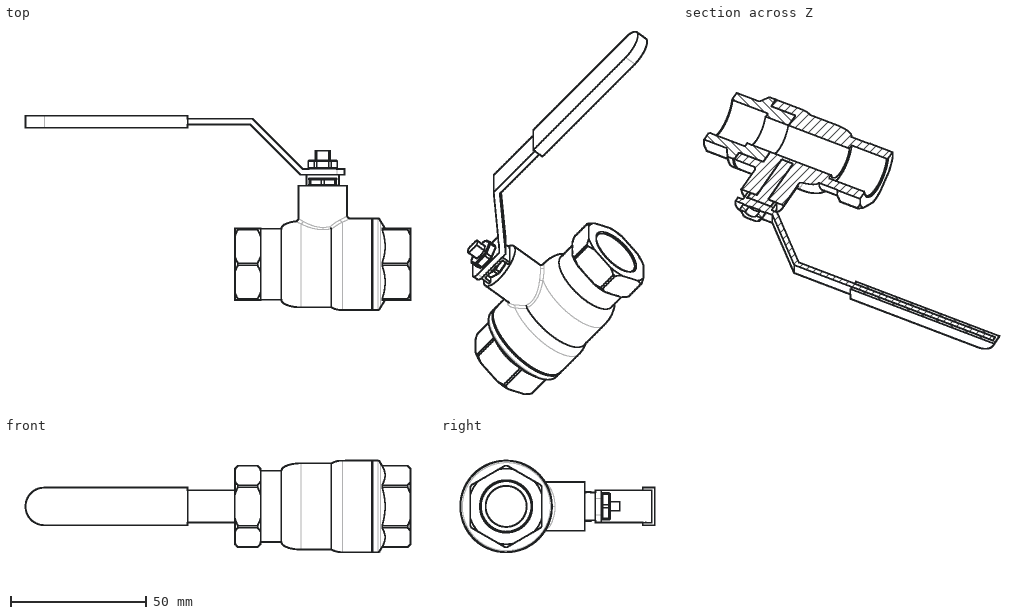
import cadquery as cq
import math


valve_half_length = 32.5
hex_apothem = 13.25
hex_corner_apothem = 15.05
hex_length = 9.5
hex_chamfer = 1.1
thread_radius = 9.3
thread_depth = 15.0
thread_chamfer = 0.45
port_radius = 7.55

neck_radius = 13.2
dome_start_x = -15.3
dome_end_x = -8.2
dome_radius = 16.0
rim_start_x = 3.2
rim_full_x = 7.15
rim_radius = 17.0
rim_end_x = 18.1

bonnet_radius = 9.05
bonnet_top_y = 29.1
bonnet_fillet = 1.0

groove_width = 0.4
groove_depth = 0.2
flange_start_x = rim_end_x + groove_width
flange_end_x = 20.3
flange_round_end_x = 21.2
flange_round_end_radius = 16.3
flange_cone_end_x = 23.1
spigot_radius = 13.0
spigot_start_x = 8.0

stem_radius = 2.8
stem_flat_distance = 1.67
stem_bottom_y = 9.0
stem_top_y = 42.05
nut_apothem = 5.0
nut_corner_apothem = 5.45
nut_height = 3.2
nut_chamfer = 0.4
gland_height = 2.65

lever_thickness = 2.2
lever_width = 12.0
lever_bottom_y = 33.05
lever_end_x = 8.1
lever_end_radius = 3.0
lever_bend_x = -8.25
lever_rise = 18.6
bend_angle = 45.0
bracket_half_width = 6.05
bracket_depth = 10.4

grip_tip_x = -110.0
grip_end_x = -50.0
grip_width = 14.0
grip_thickness = 4.5
grip_wall = (grip_width - lever_width) / 2

lever_top_y = lever_bottom_y + lever_thickness
handle_mid_y = lever_bottom_y + lever_rise + lever_thickness / 2
gland_top_y = bonnet_top_y + gland_height


def stem_plane():
    """Workplane normal to the stem axis, with its normal along +Y and its local X along Z."""
    return cq.Workplane(cq.Plane(origin=(0, 0, 0), xDir=(0, 0, 1), normal=(0, 1, 0)))


def cylinder_x(radius, start_x, end_x):
    return cq.Workplane("YZ").workplane(offset=start_x).circle(radius).extrude(end_x - start_x)


def cylinder_y(radius, start_y, end_y):
    return stem_plane().workplane(offset=start_y).circle(radius).extrude(end_y - start_y)


def hexagon(plane, apothem, corner_apothem, start, length):
    """Hexagonal prism with flattened corners; two of its flats face local +-X."""
    def prism(distance, turn):
        corner_diameter = 2 * distance / math.cos(math.pi / 6)
        outline = plane.workplane(offset=start).transformed(rotate=(0, 0, turn))
        return outline.polygon(6, corner_diameter).extrude(length)

    return prism(apothem, 30).intersect(prism(corner_apothem, 0))


def pipe_hexagon(start_x, end_x, chamfered_ends):
    """Wrench hexagon on a pipe end, its corners turned to a cone at the chosen end faces."""
    half_side = (hex_corner_apothem - hex_apothem * math.cos(math.pi / 6)) / math.sin(math.pi / 6)
    turned_radius = math.hypot(hex_apothem, half_side)
    turned_bar = cylinder_x(turned_radius, start_x, end_x).faces(chamfered_ends).edges().chamfer(hex_chamfer)
    prism = hexagon(cq.Workplane("YZ"), hex_apothem, hex_corner_apothem, start_x, end_x - start_x)
    return prism.intersect(turned_bar)


def stem_hexagon(plane, start_y, height):
    """Small hexagon around the stem axis, with both end faces chamfered along their edges."""
    prism = hexagon(plane, nut_apothem, nut_corner_apothem, start_y, height)
    return prism.faces("<Y or >Y").edges().chamfer(nut_chamfer)


def arc_midpoint(start, end):
    """Middle of the arc that reaches its end point running parallel to X."""
    run = end[0] - start[0]
    rise = end[1] - start[1]
    radius = (run**2 + rise**2) / (2 * rise)
    half_turn = math.asin(run / radius) / 2
    return (end[0] - radius * math.sin(half_turn), end[1] - radius * (1 - math.cos(half_turn)))


def threaded_end(side):
    """Bore with a lead-in chamfer cut into one pipe end; side is -1 or +1."""
    mouth_x = side * valve_half_length
    mouth_radius = thread_radius + thread_chamfer
    outline = [
        (mouth_x, 0),
        (mouth_x, mouth_radius),
        (mouth_x - side * thread_chamfer, thread_radius),
        (mouth_x - side * thread_depth, thread_radius),
        (mouth_x - side * thread_depth, 0),
    ]
    return cq.Workplane("XY").polyline(outline).close().revolve(360, (0, 0), (1, 0))


def make_body():
    hex_end_x = -valve_half_length + hex_length
    dome_length = dome_end_x - dome_start_x
    dome_height = dome_radius - neck_radius
    rim_start = (rim_start_x, dome_radius)
    rim_full = (rim_full_x, rim_radius)
    shell = (
        cq.Workplane("XY")
        .moveTo(hex_end_x, 0)
        .lineTo(hex_end_x, neck_radius)
        .lineTo(dome_start_x, neck_radius)
        .ellipseArc(dome_length, dome_height, angle1=90, angle2=180, sense=-1)
        .lineTo(*rim_start)
        .threePointArc(arc_midpoint(rim_start, rim_full), rim_full)
        .lineTo(rim_end_x, rim_radius)
        .lineTo(rim_end_x, 0)
        .close()
        .revolve(360, (0, 0), (1, 0))
    )
    bonnet = cylinder_y(bonnet_radius, 0, bonnet_top_y)
    root_reach = bonnet_radius + bonnet_fillet
    bonnet_root = cq.selectors.BoxSelector(
        (-root_reach, neck_radius / 2, -root_reach),
        (root_reach, rim_radius + bonnet_fillet, root_reach),
        boundingbox=True,
    )
    shell = shell.union(bonnet).edges(bonnet_root).fillet(bonnet_fillet)
    pipe_hex = pipe_hexagon(-valve_half_length, hex_end_x, "<X or >X")
    stem_hole = cylinder_y(stem_radius, stem_bottom_y, bonnet_top_y)
    return (
        shell.union(pipe_hex)
        .cut(cylinder_x(port_radius, -valve_half_length, rim_end_x))
        .cut(threaded_end(-1))
        .cut(cylinder_x(spigot_radius, spigot_start_x, rim_end_x))
        .cut(stem_hole)
    )


def make_cap():
    round_start = (flange_end_x, rim_radius)
    round_end = (flange_round_end_x, flange_round_end_radius)
    flange = (
        cq.Workplane("XY")
        .moveTo(rim_end_x, 0)
        .lineTo(rim_end_x, rim_radius - groove_depth)
        .lineTo(flange_start_x, rim_radius - groove_depth)
        .lineTo(flange_start_x, rim_radius)
        .lineTo(*round_start)
        .threePointArc(arc_midpoint(round_end, round_start), round_end)
        .lineTo(flange_cone_end_x, hex_apothem)
        .lineTo(flange_cone_end_x, 0)
        .close()
        .revolve(360, (0, 0), (1, 0))
    )
    pipe_hex = pipe_hexagon(flange_end_x, valve_half_length, ">X")
    return (
        flange.union(pipe_hex)
        .union(cylinder_x(spigot_radius, spigot_start_x, rim_end_x))
        .cut(cylinder_x(port_radius, spigot_start_x, valve_half_length))
        .cut(threaded_end(1))
    )


def flatted_shaft(start_y, end_y):
    """Round shaft with two opposite flats facing +-Z."""
    shaft = cylinder_y(stem_radius, start_y, end_y)
    flats = stem_plane().workplane(offset=start_y).rect(2 * stem_flat_distance, 2 * stem_radius)
    return shaft.intersect(flats.extrude(end_y - start_y))


def make_stem():
    """Stem with its hexagonal gland; the gland has corners on +-Z."""
    shank = cylinder_y(stem_radius, stem_bottom_y, gland_top_y)
    gland_plane = stem_plane().transformed(rotate=(0, 0, 90))
    gland = stem_hexagon(gland_plane, bonnet_top_y, gland_height)
    return shank.union(gland).union(flatted_shaft(gland_top_y, stem_top_y))


def make_nut():
    nut = stem_hexagon(stem_plane(), lever_top_y, nut_height)
    return nut.cut(cylinder_y(stem_radius, lever_top_y, lever_top_y + nut_height))


def round_tipped_bar(tip_x, end_x, width, thickness):
    """Flat bar centred on the handle plane, with a half-round tip towards -X."""
    half_width = width / 2
    bar = (
        cq.Workplane("XZ", origin=(0, handle_mid_y, 0))
        .moveTo(end_x, -half_width)
        .lineTo(tip_x + half_width, -half_width)
        .threePointArc((tip_x, 0), (tip_x + half_width, half_width))
        .lineTo(end_x, half_width)
        .close()
    )
    return bar.extrude(thickness / 2, both=True)


def make_lever():
    """Cranked strip carrying a U-shaped stop bracket that straddles the gland."""
    slope_run = lever_rise / math.tan(math.radians(bend_angle))
    bend_shift = lever_thickness * math.tan(math.radians(bend_angle / 2))
    upper_bend_x = lever_bend_x - slope_run
    strip = (
        cq.Workplane("XY")
        .polyline([
            (lever_end_x, lever_bottom_y),
            (lever_bend_x, lever_bottom_y),
            (upper_bend_x, lever_bottom_y + lever_rise),
            (grip_end_x, lever_bottom_y + lever_rise),
            (grip_end_x, lever_top_y + lever_rise),
            (upper_bend_x + bend_shift, lever_top_y + lever_rise),
            (lever_bend_x + bend_shift, lever_top_y),
            (lever_end_x, lever_top_y),
        ])
        .close()
        .extrude(lever_width / 2, both=True)
        .edges("|Y and >X")
        .fillet(lever_end_radius)
    )
    tang = round_tipped_bar(grip_tip_x + grip_wall, grip_end_x, lever_width, lever_thickness)
    bracket = (
        cq.Workplane("XY")
        .polyline([
            (-bracket_half_width, bonnet_top_y),
            (-bracket_half_width, lever_bottom_y),
            (bracket_half_width, lever_bottom_y),
            (bracket_half_width, bonnet_top_y),
            (nut_apothem, bonnet_top_y),
            (nut_apothem, gland_top_y),
            (-nut_apothem, gland_top_y),
            (-nut_apothem, bonnet_top_y),
        ])
        .close()
        .extrude(bracket_depth / 2, both=True)
    )
    return strip.union(tang).union(bracket).cut(flatted_shaft(gland_top_y, lever_top_y))


def make_grip():
    sleeve = round_tipped_bar(grip_tip_x, grip_end_x, grip_width, grip_thickness)
    pocket = round_tipped_bar(grip_tip_x + grip_wall, grip_end_x, lever_width, lever_thickness)
    return sleeve.cut(pocket)


body = make_body()
cap = make_cap()
stem = make_stem()
nut = make_nut()
lever = make_lever()
grip = make_grip()

result = cq.Compound.makeCompound([
    body.solids().val(),
    cap.solids().val(),
    stem.solids().val(),
    nut.solids().val(),
    lever.solids().val(),
    grip.solids().val(),
])